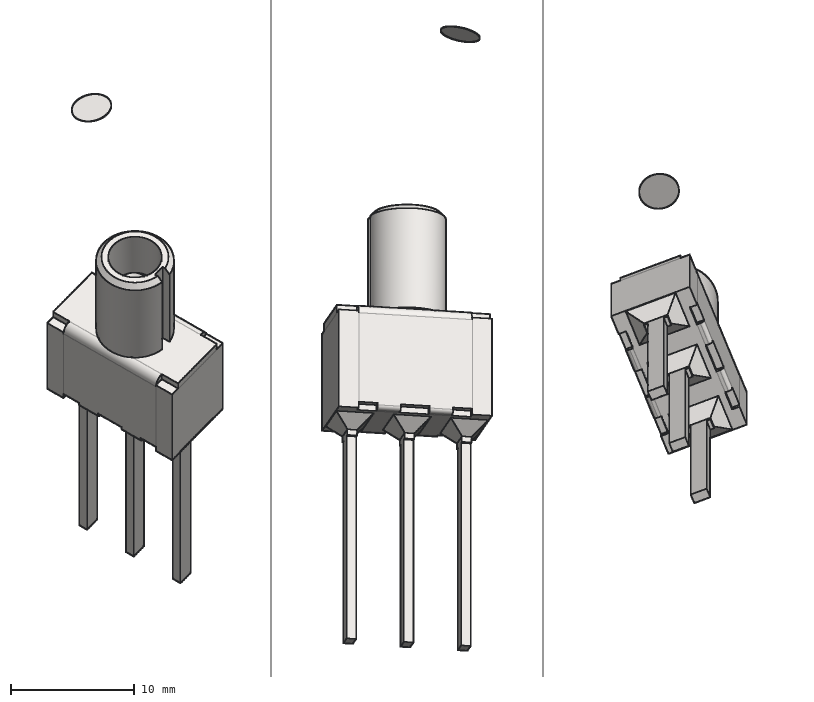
import cadquery as cq
import math

case_length = 12.7
case_width = 6.86
housing_height = 8.89
plate_thickness = 0.64
case_height = housing_height - plate_thickness
bend_radius = 0.8
plate_width = case_width - 2 * bend_radius
bracket_length = 9.4

window_height = 0.5
crimp_radius = 0.35
middle_window_length = 2.4
end_window_start = 3.13

bushing_radius = 6.35 / 2
bushing_height = 8.89
bushing_top = housing_height + bushing_height
bushing_chamfer = 0.45
bore_radius = 4.35 / 2
keyway_width = 1.0
keyway_floor = 2.42

ball_radius = 2.1
pivot_height = 12.6
lever_tilt = 12.0
cup_radius = 1.2
tip_radius = 1.63
tip_thickness = 0.06
tip_distance = 21.28

terminal_pitch = 4.75
terminal_thickness = 0.8
blade_width = 1.4
shoulder_width = 2.06
flare_height = 1.15
flare_spread = 1.15
shoulder_bottom = -1.62
overall_height = 52.59
tilt = math.radians(lever_tilt)
highest_point = pivot_height + tip_distance * math.cos(tilt) + tip_radius * math.sin(tilt)
terminal_bottom = highest_point - overall_height


def block(length, width, bottom, top):
    """Box centred on the Z axis between two heights."""
    return cq.Workplane("XY").workplane(offset=bottom).rect(length, width).extrude(top - bottom)


def lean(body):
    """Tilt a body built upright about the pivot."""
    return body.rotate((0, 0, pivot_height), (0, 1, pivot_height), -lever_tilt)


def make_bracket():
    """Folded channel: top plate and two side flaps with crimped lower edges."""
    inner_width = case_width - 2 * plate_thickness
    channel = block(bracket_length, case_width, 0, housing_height)
    channel = channel.edges("|X and >Z").fillet(bend_radius)
    channel = channel.edges("|X and <Z").fillet(crimp_radius)
    channel = channel.cut(block(bracket_length, inner_width, 0, case_height))

    end_window_length = bracket_length / 2 - end_window_start
    end_window_center = end_window_start + end_window_length / 2
    windows = [
        (-end_window_center, end_window_length),
        (0, middle_window_length),
        (end_window_center, end_window_length),
    ]
    for center, length in windows:
        window = block(length, case_width, 0, window_height).translate((center, 0, 0))
        channel = channel.cut(window)
    return channel


def make_case():
    """Block whose ends stand flush with the bracket, waisted where the flaps lie."""
    case = block(case_length, case_width, 0, case_height)
    waist = block(bracket_length, case_width, 0, case_height)
    core = block(bracket_length, case_width - 2 * plate_thickness, 0, case_height)
    return case.cut(waist.cut(core))


def make_bushing():
    """Tube with a chamfered mouth and a keyway on its +X side."""
    bushing = (
        cq.Workplane("XY")
        .workplane(offset=housing_height)
        .circle(bushing_radius)
        .extrude(bushing_height)
        .faces(">Z")
        .chamfer(bushing_chamfer)
    )
    keyway_depth = bushing_radius - keyway_floor
    keyway = block(keyway_depth, keyway_width, housing_height, bushing_top)
    keyway = keyway.translate((keyway_floor + keyway_depth / 2, 0, 0))
    bore = (
        cq.Workplane("XY")
        .workplane(offset=pivot_height)
        .circle(bore_radius)
        .extrude(bushing_top - pivot_height)
    )
    return bushing.cut(keyway).cut(bore)


def make_ball_seat():
    """Domed bore floor with a shallow cup facing along the tilted lever axis."""
    dome = cq.Workplane("XY").sphere(ball_radius).translate((0, 0, pivot_height))
    dome = dome.intersect(block(2 * bore_radius, 2 * bore_radius, pivot_height, bushing_top))
    rim_distance = math.sqrt(ball_radius**2 - cup_radius**2)
    cup = cq.Workplane("XY").sphere(ball_radius).translate((0, 0, pivot_height + 2 * rim_distance))
    return dome.cut(lean(cup))


def make_housing():
    """Case, bracket with its end plate, and bushing as one solid; the flush flap seams stay as edges."""
    plate = block(case_length, plate_width, case_height, housing_height)
    bracket = make_bracket().union(plate)
    housing = make_case()
    for feature in [bracket, make_bushing(), make_ball_seat()]:
        housing = housing.union(feature, clean=False)
    return housing


def make_lever_tip():
    """Thin disc standing clear above the bushing, square to the tilted lever axis."""
    disc = (
        cq.Workplane("XY")
        .workplane(offset=pivot_height + tip_distance)
        .circle(tip_radius)
        .extrude(-tip_thickness)
    )
    return lean(disc)


def make_terminal(x):
    """Blade with a shoulder and a pyramidal flare that meets the underside of the case."""
    flare = (
        cq.Workplane("XY")
        .workplane(offset=-flare_height)
        .rect(terminal_thickness, shoulder_width)
        .workplane(offset=flare_height)
        .rect(terminal_thickness + 2 * flare_spread, shoulder_width + 2 * flare_spread)
        .loft()
    )
    shoulder = block(terminal_thickness, shoulder_width, shoulder_bottom, -flare_height)
    blade = block(terminal_thickness, blade_width, terminal_bottom, shoulder_bottom)
    return flare.union(shoulder).union(blade).translate((x, 0, 0))


housing = make_housing()
lever_tip = make_lever_tip()
terminals = [make_terminal(i * terminal_pitch) for i in (-1, 0, 1)]

result = cq.Compound.makeCompound(
    [housing.val(), lever_tip.val(), *[terminal.val() for terminal in terminals]]
)